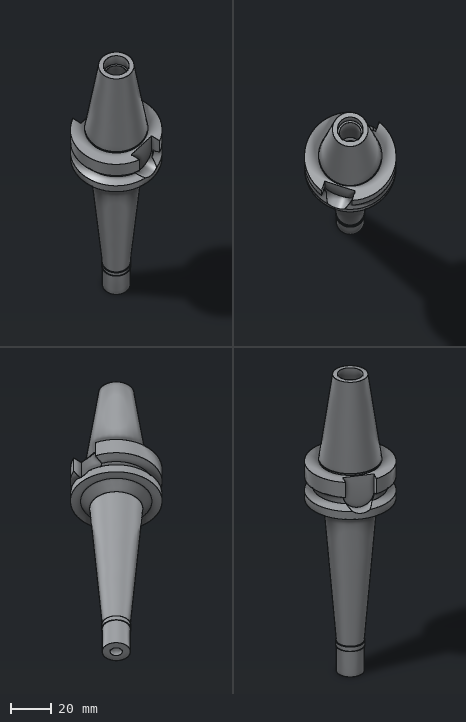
import cadquery as cq

TOTAL_HEIGHT = 168.4

NUT_HEIGHT = 17.5
NUT_RADIUS = 7.0
COLLAR_RADIUS = 7.4
COLLAR_BOTTOM = 14.7
COLLAR_CHAMFER = 0.3
NUT_BORE_RADIUS = 3.0

NECK_BOTTOM_RADIUS = 7.0
NECK_TOP_RADIUS = 13.3
NECK_TOP = 93.1
SHOULDER_RADIUS = 17.9

FLANGE_RADIUS = 22.99
FLANGE_BOTTOM = 98.0
LOWER_LIP_TOP = 102.5
GROOVE_BOTTOM = 104.7
GROOVE_TOP = 108.1
GROOVE_RADIUS = 18.9
UPPER_LIP_BOTTOM = 110.5
FLANGE_TOP = 119.0

SHANK_BOTTOM = 120.0
RELIEF_RADIUS = 15.5
SHANK_BOTTOM_RADIUS = 15.88
SHANK_TOP_RADIUS = 9.0

COUNTERBORE_RADIUS = 6.4
COUNTERBORE_DEPTH = 6.5
THREAD_RADIUS = 5.4
THREAD_DEPTH = 33.7
THROUGH_RADIUS = 3.7

SLOT_WIDTH = 16.0
SLOT_FLOOR_X = 16.3
SLOT_BOTTOM = 101.2


def revolve_about_z(points):
    """Revolve a closed (radius, height) outline about the Z axis."""
    return cq.Workplane("XZ").polyline(points).close().revolve(360, (0, 0, 0), (0, 1, 0))


def make_drive_slot(side):
    """Cutter for one drive slot: straight walls, round lower end, flat floor in X."""
    half_width = SLOT_WIDTH / 2
    round_center_z = SLOT_BOTTOM + half_width
    return (
        cq.Workplane("YZ", origin=(side * SLOT_FLOOR_X, 0, 0))
        .moveTo(-half_width, FLANGE_TOP)
        .lineTo(-half_width, round_center_z)
        .threePointArc((0, SLOT_BOTTOM), (half_width, round_center_z))
        .lineTo(half_width, FLANGE_TOP)
        .close()
        .extrude(side * FLANGE_RADIUS)
    )


def make_holder():
    """Holder: neck, grooved flange and taper shank around one stepped bore."""
    outside = [
        (NECK_BOTTOM_RADIUS, NUT_HEIGHT),
        (NECK_TOP_RADIUS, NECK_TOP),
        (SHOULDER_RADIUS, FLANGE_BOTTOM),
        (FLANGE_RADIUS, FLANGE_BOTTOM),
        (FLANGE_RADIUS, LOWER_LIP_TOP),
        (GROOVE_RADIUS, GROOVE_BOTTOM),
        (GROOVE_RADIUS, GROOVE_TOP),
        (FLANGE_RADIUS, UPPER_LIP_BOTTOM),
        (FLANGE_RADIUS, FLANGE_TOP),
        (RELIEF_RADIUS, FLANGE_TOP),
        (RELIEF_RADIUS, SHANK_BOTTOM),
        (SHANK_BOTTOM_RADIUS, SHANK_BOTTOM),
        (SHANK_TOP_RADIUS, TOTAL_HEIGHT),
    ]
    counterbore_floor = TOTAL_HEIGHT - COUNTERBORE_DEPTH
    thread_floor = TOTAL_HEIGHT - THREAD_DEPTH
    bore = [
        (COUNTERBORE_RADIUS, TOTAL_HEIGHT),
        (COUNTERBORE_RADIUS, counterbore_floor),
        (THREAD_RADIUS, counterbore_floor),
        (THREAD_RADIUS, thread_floor),
        (THROUGH_RADIUS, thread_floor),
        (THROUGH_RADIUS, NUT_HEIGHT),
    ]
    holder = revolve_about_z(outside + bore)
    for side in (-1, 1):
        holder = holder.cut(make_drive_slot(side))
    return holder


def make_nut():
    """Clamping nut: plain sleeve with a chamfered collar against the neck."""
    return revolve_about_z([
        (NUT_BORE_RADIUS, 0),
        (NUT_RADIUS, 0),
        (NUT_RADIUS, COLLAR_BOTTOM),
        (COLLAR_RADIUS, COLLAR_BOTTOM),
        (COLLAR_RADIUS, NUT_HEIGHT - COLLAR_CHAMFER),
        (COLLAR_RADIUS - COLLAR_CHAMFER, NUT_HEIGHT),
        (NUT_BORE_RADIUS, NUT_HEIGHT),
    ])


holder = make_holder()
nut = make_nut()
result = cq.Compound.makeCompound([holder.val(), nut.val()])